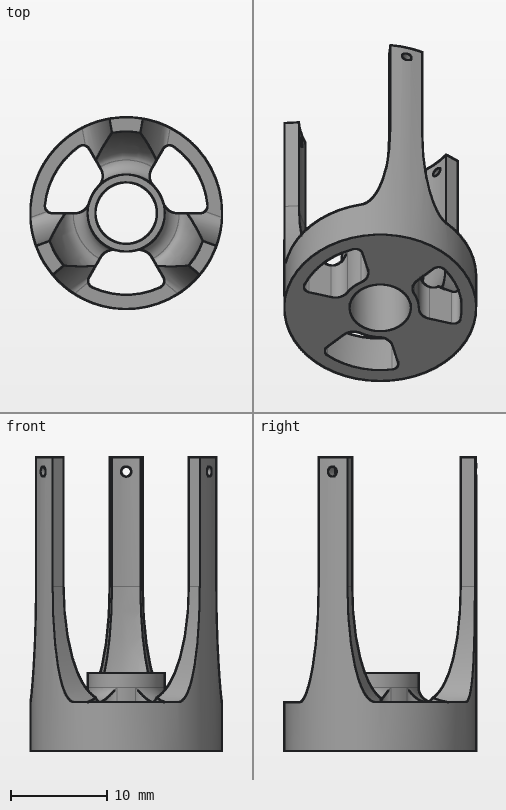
import cadquery as cq
import math

OUTER_RADIUS = 19.92 / 2
WALL = 1.5
INNER_RADIUS = OUTER_RADIUS - WALL
BASE_HEIGHT = 5.08
HUB_RADIUS = 8.0 / 2
HUB_HEIGHT = 8.1
BORE_RADIUS = 6.35 / 2
HUB_FILLET = 1.5
HUB_FILLET_TOP = BASE_HEIGHT + HUB_FILLET
VALLEY_RADIUS = HUB_RADIUS + HUB_FILLET

COUNT = 3
PITCH = 360 / COUNT
WINDOW_HALF_ANGLE = PITCH / 4
WINDOW_INNER_FILLET = 1.5
WINDOW_OUTER_FILLET = 0.75

TOTAL_HEIGHT = 30.48
ARM_HALF_ANGLE = 10
FIRST_ARM_ANGLE = 90
GAP_HALF_ANGLE = PITCH / 2 - ARM_HALF_ANGLE
FLARE_WIDTH = INNER_RADIUS - VALLEY_RADIUS
FLARE_HEIGHT = 12.0
FLARE_TOP = BASE_HEIGHT + FLARE_HEIGHT

PIN_HOLE_DIAMETER = 1.02
PIN_HOLE_Z = TOTAL_HEIGHT - 1.5

CLEARANCE = 1.0
REACH = OUTER_RADIUS + CLEARANCE


def polar(radius, angle):
    """Point at a radius and an angle in degrees."""
    return (radius * math.cos(math.radians(angle)), radius * math.sin(math.radians(angle)))


def around_axis(shape, start_angle):
    """Copies of a shape lying along +X, spaced evenly about Z."""
    return [shape.rotate((0, 0, 0), (0, 0, 1), start_angle + i * PITCH) for i in range(COUNT)]


def add_flare(sketch):
    """Quarter ellipse from the current point, leaving level and rising to vertical."""
    return sketch.ellipseArc(FLARE_WIDTH, FLARE_HEIGHT, 270, 360, sense=1)


def make_revolved_body():
    """Hub, valley and flared outer wall as one turned shape."""
    fillet_middle = HUB_FILLET * math.sqrt(0.5)
    profile = (
        cq.Workplane("XZ")
        .moveTo(BORE_RADIUS, 0)
        .lineTo(BORE_RADIUS, HUB_HEIGHT)
        .lineTo(HUB_RADIUS, HUB_HEIGHT)
        .lineTo(HUB_RADIUS, HUB_FILLET_TOP)
        .threePointArc(
            (VALLEY_RADIUS - fillet_middle, HUB_FILLET_TOP - fillet_middle),
            (VALLEY_RADIUS, BASE_HEIGHT),
        )
    )
    profile = (
        add_flare(profile)
        .lineTo(INNER_RADIUS, TOTAL_HEIGHT)
        .lineTo(OUTER_RADIUS, TOTAL_HEIGHT)
        .lineTo(OUTER_RADIUS, 0)
        .close()
    )
    return profile.revolve(360, (0, 0, 0), (0, 1, 0))


def make_gap_side():
    """Prism bounding one side of a gap, its flank parallel to the neighbouring arm's edge ray."""
    sketch = (
        cq.Workplane("YZ")
        .moveTo(-2 * REACH, BASE_HEIGHT)
        .lineTo(-FLARE_WIDTH, BASE_HEIGHT)
    )
    sketch = (
        add_flare(sketch)
        .lineTo(0, TOTAL_HEIGHT + CLEARANCE)
        .lineTo(-2 * REACH, TOTAL_HEIGHT + CLEARANCE)
        .close()
    )
    return sketch.extrude(REACH, both=True).rotate((0, 0, 0), (0, 0, 1), GAP_HALF_ANGLE)


def make_gap():
    """Open space between two arms, along +X, outside the valley."""
    side = make_gap_side()
    core = cq.Workplane("XY").circle(VALLEY_RADIUS).extrude(TOTAL_HEIGHT + 2 * CLEARANCE)
    return side.intersect(side.mirror("XZ")).cut(core)


def make_window():
    """Rounded sector between hub and ring, along +X and from the floor to the top of the hub fillet."""
    sector = (
        cq.Workplane("XY")
        .moveTo(*polar(HUB_RADIUS, -WINDOW_HALF_ANGLE))
        .lineTo(*polar(INNER_RADIUS, -WINDOW_HALF_ANGLE))
        .threePointArc((INNER_RADIUS, 0), polar(INNER_RADIUS, WINDOW_HALF_ANGLE))
        .lineTo(*polar(HUB_RADIUS, WINDOW_HALF_ANGLE))
        .threePointArc((HUB_RADIUS, 0), polar(HUB_RADIUS, -WINDOW_HALF_ANGLE))
        .close()
        .extrude(HUB_FILLET_TOP)
    )
    middle_radius = (HUB_RADIUS + INNER_RADIUS) / 2
    split = middle_radius * math.cos(math.radians(WINDOW_HALF_ANGLE))
    inner_edges = cq.selectors.BoxSelector((0, -REACH, 0), (split, REACH, HUB_FILLET_TOP))
    outer_edges = cq.selectors.BoxSelector((split, -REACH, 0), (REACH, REACH, HUB_FILLET_TOP))
    sector = sector.edges("|Z").edges(inner_edges).fillet(WINDOW_INNER_FILLET)
    return sector.edges("|Z").edges(outer_edges).fillet(WINDOW_OUTER_FILLET)


def make_pin_hole():
    """Radial drill through the tip of the arm along +X."""
    return (
        cq.Workplane("YZ")
        .center(0, PIN_HOLE_Z)
        .circle(PIN_HOLE_DIAMETER / 2)
        .extrude(REACH)
    )


gap_angle = FIRST_ARM_ANGLE + PITCH / 2
body = make_revolved_body()
for gap in around_axis(make_gap(), gap_angle):
    body = body.cut(gap)
for window in around_axis(make_window(), gap_angle):
    body = body.cut(window)
for pin_hole in around_axis(make_pin_hole(), FIRST_ARM_ANGLE):
    body = body.cut(pin_hole)
result = body.clean()